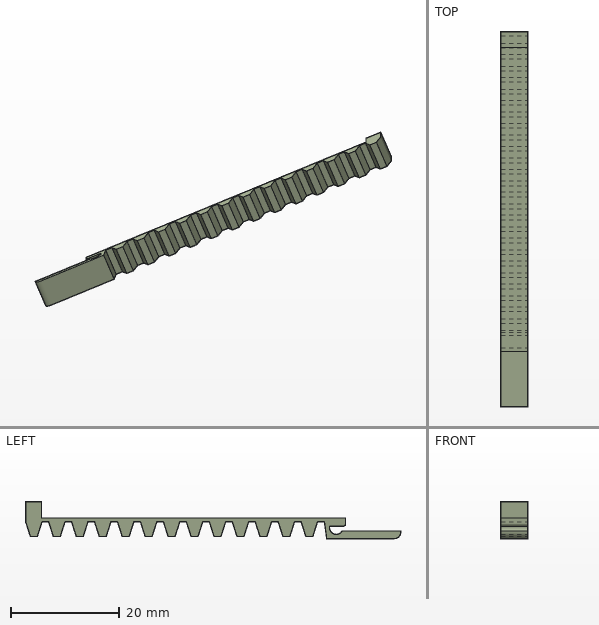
import cadquery as cq
import math

length = 69.4
width = 5.0
height = 6.9

head_length = 3.0
head_rise = 3.0
bar_top = height - head_rise
bar_length = 59.2
bar_end_bottom = 2.3
lip_radius = 0.5

tooth_count = 13
rack_span = 50.9
tooth_pitch = rack_span / (tooth_count - 1)
first_tooth_offset = 1.5
root_width = 3.05
tip_width = 1.3
root_z = 3.1
tip_z = 0.4

web_root_offset = 55.2
web_foot_offset = 55.65
slot_centre_offset = 57.45
slot_centre_z = 2.1
slot_radius = 1.25
tongue_thickness = 1.45
tongue_radius = 1.25

head_end_y = length / 2


def at(offset, z):
    """Profile point given by its distance from the head end and its height."""
    return (head_end_y - offset, z)


def arc_point(centre_offset, centre_z, radius, angle):
    """Point on a circle; the angle is measured from the tongue direction towards +Z."""
    turn = math.radians(angle)
    return at(centre_offset + radius * math.cos(turn), centre_z + radius * math.sin(turn))


def make_body():
    """Head, bar, web and tongue as one stepped outline with rounded corners."""
    lip_centre_offset = bar_length - lip_radius
    lip_centre_z = bar_end_bottom + lip_radius
    slot_roof_rise = bar_end_bottom - slot_centre_z
    slot_roof_offset = slot_centre_offset - math.sqrt(slot_radius**2 - slot_roof_rise**2)
    slot_rim_drop = slot_centre_z - tongue_thickness
    slot_rim_offset = slot_centre_offset + math.sqrt(slot_radius**2 - slot_rim_drop**2)
    tongue_centre_offset = length - tongue_radius
    return (
        cq.Workplane("YZ")
        .moveTo(*at(0, root_z))
        .lineTo(*at(0, height))
        .lineTo(*at(head_length, height))
        .lineTo(*at(head_length, bar_top))
        .lineTo(*at(bar_length, bar_top))
        .lineTo(*at(bar_length, lip_centre_z))
        .threePointArc(
            arc_point(lip_centre_offset, lip_centre_z, lip_radius, -45),
            at(lip_centre_offset, bar_end_bottom),
        )
        .lineTo(*at(slot_roof_offset, bar_end_bottom))
        .threePointArc(
            arc_point(slot_centre_offset, slot_centre_z, slot_radius, -90),
            at(slot_rim_offset, tongue_thickness),
        )
        .lineTo(*at(length, tongue_thickness))
        .lineTo(*at(length, tongue_radius))
        .threePointArc(
            arc_point(tongue_centre_offset, tongue_radius, tongue_radius, -45),
            at(tongue_centre_offset, 0),
        )
        .lineTo(*at(web_foot_offset, 0))
        .lineTo(*at(web_root_offset, root_z))
        .close()
        .extrude(width / 2, both=True)
    )


def make_tooth(centre):
    """One tapered tooth, reaching up to the top of the bar for a solid overlap."""
    outline = [
        at(centre - root_width / 2, bar_top),
        at(centre + root_width / 2, bar_top),
        at(centre + root_width / 2, root_z),
        at(centre + tip_width / 2, tip_z),
        at(centre - tip_width / 2, tip_z),
        at(centre - root_width / 2, root_z),
    ]
    return cq.Workplane("YZ").polyline(outline).close().extrude(width / 2, both=True)


rack = make_body()
for index in range(tooth_count):
    rack = rack.union(make_tooth(first_tooth_offset + index * tooth_pitch))

envelope = cq.Workplane("XY").box(width, length, height, centered=(True, True, False))
result = rack.intersect(envelope).clean()